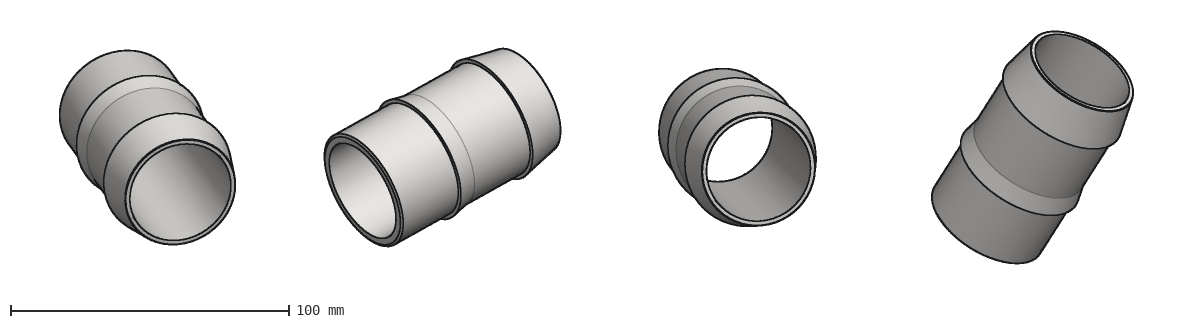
import cadquery as cq

length = 75.0
bore_diameter = 38.0
body_diameter = 45.0
barb_diameter = 48.0
tip_diameter = 41.55

middle_barb_start = 26.0
middle_barb_end = 33.4
end_barb_start = 59.25

inlet_chamfer_length = 0.5
inlet_chamfer_depth = 1.0
tip_chamfer = 0.2

bore_radius = bore_diameter / 2
body_radius = body_diameter / 2
barb_radius = barb_diameter / 2
tip_radius = tip_diameter / 2

half_section = (
    cq.Workplane("XZ")
    .moveTo(0, bore_radius)
    .lineTo(0, body_radius - inlet_chamfer_depth)
    .lineTo(inlet_chamfer_length, body_radius)
    .lineTo(middle_barb_start, body_radius)
    .lineTo(middle_barb_start, barb_radius)
    .lineTo(middle_barb_end, body_radius)
    .lineTo(end_barb_start, body_radius)
    .lineTo(end_barb_start, barb_radius)
    .lineTo(length - tip_chamfer, tip_radius)
    .lineTo(length, tip_radius - tip_chamfer)
    .lineTo(length, bore_radius)
    .close()
)

result = half_section.revolve(360, (0, 0, 0), (1, 0, 0))